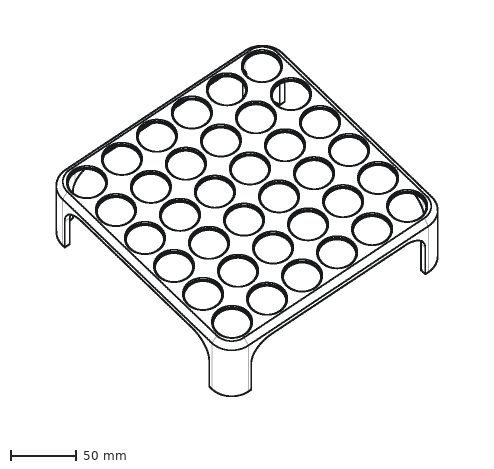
import cadquery as cq
side = 220.0
height = 64.0
corner_radius = 20.0
top_chamfer = 5.0

wall = 5.0
plate_thickness = 3.0

leg_width = 23.0
skirt_depth = 10.1
opening_corner_radius = 20.0
opening_width = side - 2 * leg_width
opening_height = height - skirt_depth

holes_per_side = 6
hole_pitch = 35.0
hole_diameter = 29.3
hole_chamfer = 1.0
countersink_angle = 90


def rounded_block(width, block_height, radius):
    """Square block with rounded upright edges, standing on Z = 0."""
    block = cq.Workplane("XY").rect(width, width).extrude(block_height)
    return block.edges("|Z").fillet(radius)


def leg_opening():
    """Cutter along Y, open at the floor and rounded at its two upper corners."""
    cutter = cq.Workplane("XY").box(opening_width, side, opening_height, centered=(True, True, False))
    return cutter.faces(">Z").edges("|Y").fillet(opening_corner_radius)


tray = rounded_block(side, height, corner_radius).faces(">Z").chamfer(top_chamfer)
cavity = rounded_block(side - 2 * wall, height - plate_thickness, corner_radius)
tray = tray.cut(cavity)

opening = leg_opening()
frame = tray.cut(opening).cut(opening.rotate((0, 0, 0), (0, 0, 1), 90))

result = (
    frame.faces(">Z")
    .workplane(origin=(0, 0, height))
    .rarray(hole_pitch, hole_pitch, holes_per_side, holes_per_side)
    .cskHole(hole_diameter, hole_diameter + 2 * hole_chamfer, countersink_angle)
)